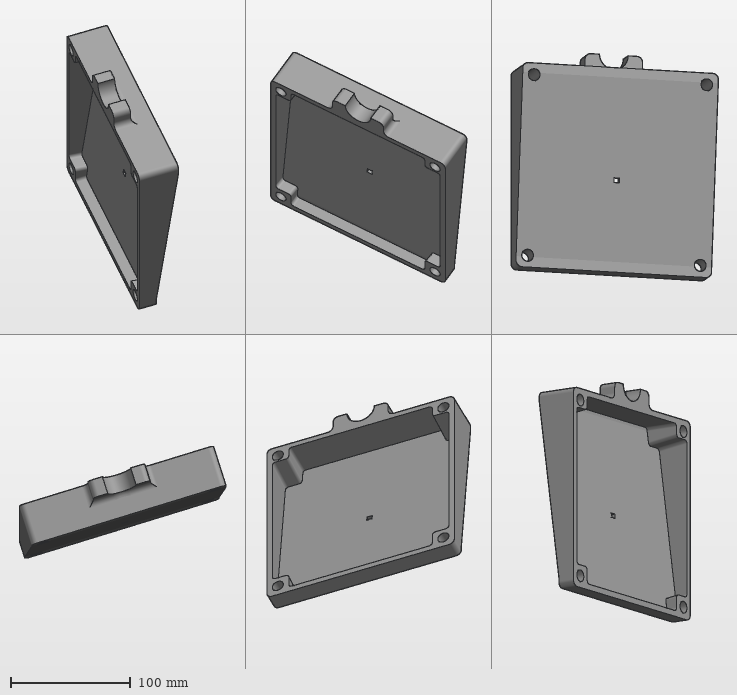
import cadquery as cq
import math

total_height = 185
body_width = 170.0
body_height = 170.0
top_depth = 35.0
bottom_depth = 15.0
corner_radius = 5.0

back_margin = 8.5
slope_angle = math.degrees(math.atan((top_depth - bottom_depth) / (body_height - 2 * back_margin)))

wall = 5.0
floor_thickness = 5.0
ledge_margin = 8.0
post_width = 20.0
upper_post_height = 16.6
lower_post_height = 19.2
cavity_radius = 3.0

screw_diameter = 10.0
screw_inset = 10.0
slot_width = 4.8
slot_height = 3.9
slot_z = 77.1

tab_width = 50
tab_depth = 15.0
tab_radius = 5.0
notch_radius = 12.4

overrun = 37


def box(width, y_start, y_end, z_start, z_end):
    """Block centred on X."""
    return cq.Workplane("XY").box(
        width, y_end - y_start, z_end - z_start, centered=(True, False, False)
    ).translate((0, y_start, z_start))


def sloped_block(width, y_front, bottom_y, top_y, margin, z_start, z_end):
    """Block whose back steps out from bottom_y to top_y between upright margins."""
    profile = [
        (y_front, z_start),
        (bottom_y, z_start),
        (bottom_y, margin),
        (top_y, body_height - margin),
        (top_y, z_end),
        (y_front, z_end),
    ]
    return cq.Workplane("YZ").polyline(profile).close().extrude(width / 2, both=True)


def make_body():
    body = sloped_block(body_width, 0, bottom_depth, top_depth, back_margin, 0, body_height)
    return body.edges("|Y").fillet(corner_radius)


def make_tab():
    """Upright tab with rounded top corners, sunk into the top wall."""
    tab = box(tab_width, 0, tab_depth, body_height - wall, total_height)
    return tab.edges("|Y and >Z").fillet(tab_radius)


def round_tab_root(part):
    """Concave fillet along the sides and rear of the tab, reaching the notch edge behind it."""
    half_width = tab_width / 2
    tolerance = 0.2
    root = cq.selectors.BoxSelector(
        (-half_width - tolerance, -tolerance, body_height - tolerance),
        (half_width + tolerance, tab_depth + tolerance, body_height + tolerance),
    )
    return part.edges(root).fillet(tab_radius)


def make_notch():
    return (
        cq.Workplane("XZ")
        .center(0, total_height)
        .circle(notch_radius)
        .extrude(-top_depth)
    )


def make_cavity():
    """Cavity with a sloped floor; the corner posts lean square to that floor."""
    inner_width = body_width - 2 * wall
    neck_width = body_width - 2 * post_width
    wide_bottom = lower_post_height
    wide_top = body_height - upper_post_height

    lean = math.cos(math.radians(slope_angle))
    wide_height = (wide_top - wide_bottom) * lean
    arm_height = wide_height + 2 * overrun
    reach = top_depth + overrun
    cross = (
        box(inner_width, -overrun, reach, -wide_height / 2, wide_height / 2)
        .union(box(neck_width, -overrun, reach, -arm_height / 2, arm_height / 2))
        .edges("|Y")
        .fillet(cavity_radius)
        .rotate((0, 0, 0), (1, 0, 0), -slope_angle)
        .translate((0, 0, (wide_bottom + wide_top) / 2))
    )

    limits = box(neck_width, 0, top_depth, wall, body_height - wall)
    limits = limits.edges("|Y").fillet(cavity_radius)
    limits = limits.union(box(inner_width, 0, top_depth, 2 * wall, body_height - 2 * wall))

    floor = sloped_block(
        inner_width, 0, bottom_depth - floor_thickness, top_depth - floor_thickness,
        ledge_margin, 0, body_height,
    )
    return cross.intersect(limits).intersect(floor)


def make_screw_holes():
    spacing = body_width - 2 * screw_inset
    return (
        cq.Workplane("XZ")
        .center(0, body_height / 2)
        .rect(spacing, spacing, forConstruction=True)
        .vertices()
        .circle(screw_diameter / 2)
        .extrude(-top_depth)
    )


def make_slot():
    """Small rectangular opening, square to the sloped floor."""
    slope = math.tan(math.radians(slope_angle))
    floor_y = bottom_depth - floor_thickness + (slot_z - ledge_margin) * slope
    slot = box(slot_width, -floor_thickness, 2 * floor_thickness, -slot_height / 2, slot_height / 2)
    return slot.rotate((0, 0, 0), (1, 0, 0), -slope_angle).translate((0, floor_y, slot_z))


result = make_body().union(make_tab()).cut(make_notch())
result = round_tab_root(result)
for cutter in (make_cavity(), make_screw_holes(), make_slot()):
    result = result.cut(cutter)